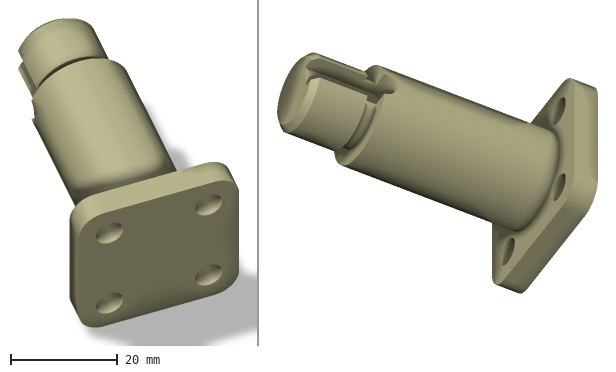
import math
import cadquery as cq

total_length = 55.9
flange_side = 32.0
flange_thickness = 5.0
flange_corner_radius = 5.0
bolt_circle_diameter = 28.0
bolt_hole_diameter = 5.5
body_diameter = 20.0
head_diameter = 16.0
head_length = 11.4
head_chamfer = 1.25
groove_diameter = 13.6
groove_width = 2.5
keyway_width = 5.0
keyway_length = 16.4
keyway_floor_offset = 4.0

flange_start = total_length - flange_thickness
body_start = head_length + groove_width
bolt_offset = bolt_circle_diameter / 2 * math.cos(math.radians(45))


def cylinder_along_x(diameter, start, end):
    return cq.Workplane("YZ", origin=(start, 0, 0)).circle(diameter / 2).extrude(end - start)


def make_flange():
    """Square plate with rounded corners and four through holes."""
    plate = (
        cq.Workplane("YZ", origin=(flange_start, 0, 0))
        .rect(flange_side, flange_side)
        .extrude(flange_thickness)
        .edges("|X")
        .fillet(flange_corner_radius)
    )
    holes = (
        cq.Workplane("YZ", origin=(flange_start, 0, 0))
        .rect(2 * bolt_offset, 2 * bolt_offset, forConstruction=True)
        .vertices()
        .circle(bolt_hole_diameter / 2)
        .extrude(flange_thickness)
    )
    return plate.cut(holes)


def make_shaft():
    """Body, relief groove and chamfered head, stepping down towards the tip."""
    body = cylinder_along_x(body_diameter, body_start, flange_start)
    groove = cylinder_along_x(groove_diameter, head_length, body_start)
    head = cylinder_along_x(head_diameter, 0, head_length).faces("<X").chamfer(head_chamfer)
    return body.union(groove).union(head)


def make_keyway():
    """Round-ended slot, open at the tip, cut into the -Y side of the shaft."""
    end_radius = keyway_width / 2
    straight_length = keyway_length - end_radius
    return (
        cq.Workplane("XZ", origin=(0, -keyway_floor_offset, 0))
        .moveTo(0, -end_radius)
        .lineTo(straight_length, -end_radius)
        .threePointArc((keyway_length, 0), (straight_length, end_radius))
        .lineTo(0, end_radius)
        .close()
        .extrude(body_diameter / 2 - keyway_floor_offset)
    )


result = make_flange().union(make_shaft()).cut(make_keyway())